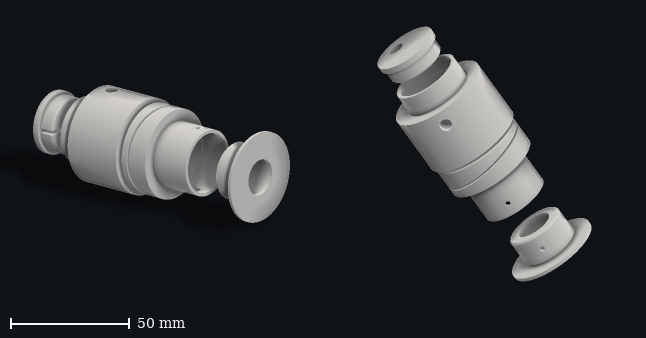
import cadquery as cq
import math

overall_length = 113.0
left_end = -overall_length / 2
right_end = overall_length / 2

tube_start = left_end + 15.7
tube_length = 68.5
tube_end = tube_start + tube_length
tube_radius = 14.5
tube_bore_radius = 12.4
seat_radius = 13.0
cap_seat_depth = 6.3
plug_seat_depth = 13.2
cross_hole_radius = 1.1
tube_hole_from_end = 5.4

sleeve_start = left_end + 25.0
sleeve_length = 26.3
sleeve_radius = 21.0
sleeve_bore_radius = 15.1
sleeve_hole_radius = 2.7
sleeve_hole_from_start = 6.5

ring_start = left_end + 53.1
ring_end = left_end + 66.2
ring_radius = 19.7
ring_chamfer = 0.3
gap_center = left_end + 59.6
gap_width = 1.1
gap_tilt = 8.9

spigot_radius = 12.4
spigot_chamfer = 0.7
relief_radius = spigot_radius - spigot_chamfer

cap_flange_radius = 13.8
cap_flange_thickness = 2.7
cap_relief_width = 0.5
cap_length = 9.4
cap_slot_width = 2.0
cap_hole_radius = 3.4
cap_hole_offset = 4.4

plug_length = 14.5
plug_flange_radius = ring_radius
plug_flange_thickness = 1.5
plug_relief_width = 1.1
plug_bore_radius = 7.8
plug_hole_from_start = 6.5


def cylinder(start, length, radius, y=0, z=0):
    """Cylinder along +X from the given start."""
    return cq.Workplane("YZ", origin=(start, y, z)).circle(radius).extrude(length)


def vertical_hole(x, radius):
    """Cutter along Z through the whole part at the given X."""
    return cq.Workplane("XY", origin=(x, 0, 0)).circle(radius).extrude(sleeve_radius * 2, both=True)


def make_cap():
    flange_face = left_end + cap_flange_thickness
    spigot_start = flange_face + cap_relief_width
    spigot_length = left_end + cap_length - spigot_start
    spigot = cylinder(spigot_start, spigot_length, spigot_radius).faces(">X").chamfer(spigot_chamfer)
    slot = cq.Workplane("XY").box(
        cap_length, 2 * cap_flange_radius, cap_slot_width, centered=(False, True, True)
    ).translate((flange_face, 0, 0))
    return (
        cylinder(left_end, cap_flange_thickness, cap_flange_radius)
        .union(cylinder(flange_face, cap_relief_width, relief_radius))
        .union(spigot)
        .cut(slot)
        .cut(cylinder(left_end, cap_length, cap_hole_radius, cap_hole_offset, cap_hole_offset))
    )


def make_tube():
    return (
        cylinder(tube_start, tube_length, tube_radius)
        .cut(cylinder(tube_start, tube_length, tube_bore_radius))
        .cut(cylinder(tube_start, cap_seat_depth, seat_radius))
        .cut(cylinder(tube_end - plug_seat_depth, plug_seat_depth, seat_radius))
        .cut(vertical_hole(tube_end - tube_hole_from_end, cross_hole_radius))
    )


def make_sleeve():
    return (
        cylinder(sleeve_start, sleeve_length, sleeve_radius)
        .cut(cylinder(sleeve_start, sleeve_length, sleeve_bore_radius))
        .cut(vertical_hole(sleeve_start + sleeve_hole_from_start, sleeve_hole_radius))
    )


def slanted_ring(outer_face, gap_face, chamfer=0):
    """Ring from a square outer face to a slanted face crossing the axis at gap_face."""
    lean = ring_radius * math.tan(math.radians(gap_tilt))
    profile = [
        (outer_face, -ring_radius),
        (gap_face - lean, -ring_radius),
        (gap_face + lean, ring_radius),
        (outer_face, ring_radius),
    ]
    wedge = cq.Workplane("XY").polyline(profile).close().extrude(ring_radius, both=True)
    blank = cylinder(ring_start, ring_end - ring_start, ring_radius)
    if chamfer:
        blank = blank.faces("<X").chamfer(chamfer)
    bore = cylinder(ring_start, ring_end - ring_start, tube_radius)
    return blank.intersect(wedge).cut(bore)


def make_plug():
    plug_start = right_end - plug_length
    flange_start = right_end - plug_flange_thickness
    relief_start = flange_start - plug_relief_width
    spigot = cylinder(plug_start, relief_start - plug_start, spigot_radius)
    return (
        spigot.faces("<X").chamfer(spigot_chamfer)
        .union(cylinder(relief_start, plug_relief_width, relief_radius))
        .union(cylinder(flange_start, plug_flange_thickness, plug_flange_radius))
        .cut(cylinder(plug_start, plug_length, plug_bore_radius))
        .cut(vertical_hole(plug_start + plug_hole_from_start, cross_hole_radius))
    )


cap = make_cap()
tube = make_tube()
sleeve = make_sleeve()
left_ring = slanted_ring(ring_start, gap_center - gap_width / 2, ring_chamfer)
right_ring = slanted_ring(ring_end, gap_center + gap_width / 2)
plug = make_plug()

result = cq.Compound.makeCompound(
    [cap.val(), tube.val(), sleeve.val(), left_ring.val(), right_ring.val(), plug.val()]
)